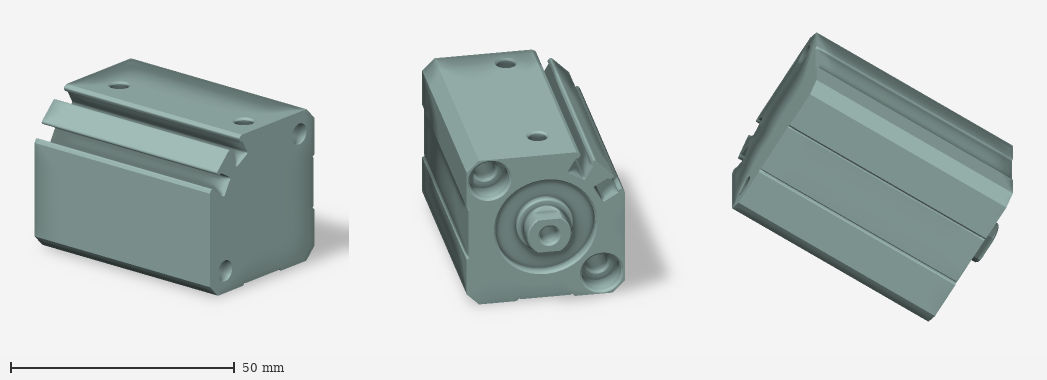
import cadquery as cq
import math

TOTAL_LENGTH = 56.0
ROD_REACH = 4.4
BODY_LENGTH = TOTAL_LENGTH - ROD_REACH
BODY_WIDTH = 36.0
HALF_WIDTH = BODY_WIDTH / 2
CORNER_CHAMFER = 2.8

SLOT_ANGLES = (120, 150)
SLOT_FACE_RADIUS = 19.1
RIB_ANGLE = 135
RIB_FACE_RADIUS = 19.05
SLOT_FLOOR_RADIUS = 13.8
SLOT_HALF_WIDTH = 2.3
SLOT_FLOOR_ROUND = 0.45
LIP_UNDERSIDE_RADIUS = 17.8
MOUTH_HALF_WIDTH = 1.75
LIP_ROUND = 0.4
SLOT_OVERSHOOT = 1.1

RECESS_DEPTH = 0.4
RECESS_HALF_WIDTH = 5.75
RELIEF_DEPTH = 0.7
RELIEF_HALF_WIDTH = 6.05
RECESS_MOUTH_HALF_WIDTH = 6.55

MOUNT_OFFSET = 12.75
MOUNT_HOLE_DIAMETER = 4.9
MOUNT_HOLE_CHAMFER = 0.5
COUNTERBORE_DIAMETER = 9.0
COUNTERBORE_CHAMFER = 0.5
COUNTERBORE_DEPTH = 5.5

FRONT_RECESS_DIAMETER = 22.8
FRONT_RECESS_CHAMFER = 0.45
FRONT_RECESS_DEPTH = 2.35
COLLAR_DIAMETER = 13.0
COLLAR_ROUND = 0.5
COLLAR_HEIGHT = 1.7

PORT_DIAMETER = 4.15
PORT_CHAMFER = 0.45
PORT_DEPTH = 5.05
FRONT_PORT_X = 9.6
PORT_SPACING = 36.6

ROD_DIAMETER = 10.0
ROD_RADIUS = ROD_DIAMETER / 2
ROD_CHAMFER = 0.3
ROD_SEAT_DEPTH = 8.4
FLATS_HALF_WIDTH = 4.05
FLATS_LENGTH = 4.0
ROD_HOLE_DIAMETER = 4.15
ROD_HOLE_CHAMFER = 0.5
ROD_HOLE_DEPTH = 7.85
DRILL_TIP_ANGLE = 118


def cylinder(diameter, x_start, x_end, y=0.0, z=0.0):
    """Solid cylinder along X."""
    return cq.Workplane("YZ", origin=(x_start, y, z)).circle(diameter / 2).extrude(x_end - x_start)


def countersink(diameter, chamfer, x, y=0.0, z=0.0):
    """45 degree cone that breaks the mouth of a hole opening towards -X at the given x."""
    cone = cq.Solid.makeCone(
        diameter / 2 + chamfer, diameter / 2, chamfer, cq.Vector(x, y, z), cq.Vector(1, 0, 0)
    )
    return cq.Workplane(cone)


def crossing(angle_1, distance_1, angle_2, distance_2):
    """Point where two lines meet, each given by its normal angle and its distance from the axis."""
    a, b = math.radians(angle_1), math.radians(angle_2)
    spread = math.sin(b - a)
    y = (distance_1 * math.sin(b) - distance_2 * math.sin(a)) / spread
    z = (distance_2 * math.cos(a) - distance_1 * math.cos(b)) / spread
    return (y, z)


def profile_blank():
    """Square extrusion with three chamfered corners and a three-faced slot corner."""
    chamfer_start = HALF_WIDTH - CORNER_CHAMFER
    upper_slot, lower_slot = SLOT_ANGLES
    outline = [
        (HALF_WIDTH, -chamfer_start),
        (HALF_WIDTH, chamfer_start),
        (chamfer_start, HALF_WIDTH),
        crossing(90, HALF_WIDTH, upper_slot, SLOT_FACE_RADIUS),
        crossing(upper_slot, SLOT_FACE_RADIUS, RIB_ANGLE, RIB_FACE_RADIUS),
        crossing(RIB_ANGLE, RIB_FACE_RADIUS, lower_slot, SLOT_FACE_RADIUS),
        crossing(lower_slot, SLOT_FACE_RADIUS, 180, HALF_WIDTH),
        (-HALF_WIDTH, -chamfer_start),
        (-chamfer_start, -HALF_WIDTH),
        (chamfer_start, -HALF_WIDTH),
    ]
    return cq.Workplane("YZ").polyline(outline).close().extrude(BODY_LENGTH)


def sensor_slot(angle):
    """Cutter for one undercut slot with rounded lips, running the full length."""
    floor = SLOT_FLOOR_RADIUS
    wide = SLOT_HALF_WIDTH
    narrow = MOUTH_HALF_WIDTH
    lip_edge = narrow + LIP_ROUND
    arc_inset = LIP_ROUND * (1 - math.sqrt(0.5))
    floor_inset = SLOT_FLOOR_ROUND * (1 - math.sqrt(0.5))
    under = LIP_UNDERSIDE_RADIUS
    face = SLOT_FACE_RADIUS
    half = (
        cq.Workplane("YZ")
        .moveTo(floor, 0)
        .lineTo(floor, wide - SLOT_FLOOR_ROUND)
        .threePointArc((floor + floor_inset, wide - floor_inset), (floor + SLOT_FLOOR_ROUND, wide))
        .lineTo(under, wide)
        .lineTo(under, lip_edge)
        .threePointArc((under + arc_inset, narrow + arc_inset), (under + LIP_ROUND, narrow))
        .lineTo(face - LIP_ROUND, narrow)
        .threePointArc((face - arc_inset, narrow + arc_inset), (face, lip_edge))
        .lineTo(face + SLOT_OVERSHOOT, lip_edge)
        .lineTo(face + SLOT_OVERSHOOT, 0)
        .close()
        .extrude(BODY_LENGTH)
    )
    return half.union(half.mirror("XY")).rotate((0, 0, 0), (1, 0, 0), angle)


def side_recess(angle):
    """Cutter for the shallow recess on the side facing the given angle."""
    half_outline = [
        (HALF_WIDTH, RECESS_MOUTH_HALF_WIDTH),
        (HALF_WIDTH - RELIEF_DEPTH, RELIEF_HALF_WIDTH),
        (HALF_WIDTH - RECESS_DEPTH, RECESS_HALF_WIDTH),
    ]
    other_half = [(y, -z) for y, z in reversed(half_outline)]
    cutter = cq.Workplane("YZ").polyline(half_outline + other_half).close().extrude(BODY_LENGTH)
    return cutter.rotate((0, 0, 0), (1, 0, 0), angle)


def mounting_hole(y, z):
    """Cutter for a through hole with a counterbore from the front."""
    hole = cylinder(MOUNT_HOLE_DIAMETER, 0, BODY_LENGTH, y, z)
    counterbore = cylinder(COUNTERBORE_DIAMETER, 0, COUNTERBORE_DEPTH, y, z)
    mouth = countersink(COUNTERBORE_DIAMETER, COUNTERBORE_CHAMFER, 0, y, z)
    inner_mouth = countersink(MOUNT_HOLE_DIAMETER, MOUNT_HOLE_CHAMFER, COUNTERBORE_DEPTH, y, z)
    return hole.union(counterbore).union(mouth).union(inner_mouth)


def front_recess():
    """Cutter for the round front recess that leaves the rod collar standing."""
    collar = cylinder(COLLAR_DIAMETER, FRONT_RECESS_DEPTH - COLLAR_HEIGHT, FRONT_RECESS_DEPTH)
    collar = collar.faces("<X").edges().fillet(COLLAR_ROUND)
    recess = cylinder(FRONT_RECESS_DIAMETER, 0, FRONT_RECESS_DEPTH)
    mouth = countersink(FRONT_RECESS_DIAMETER, FRONT_RECESS_CHAMFER, 0)
    return recess.union(mouth).cut(collar)


def air_port(x):
    """Cutter for a blind port with a chamfered mouth in the top side."""
    bottom = HALF_WIDTH - PORT_DEPTH
    port = cq.Workplane("XY", origin=(x, 0, bottom)).circle(PORT_DIAMETER / 2).extrude(PORT_DEPTH)
    mouth = cq.Solid.makeCone(
        PORT_DIAMETER / 2 + PORT_CHAMFER,
        PORT_DIAMETER / 2,
        PORT_CHAMFER,
        cq.Vector(x, 0, HALF_WIDTH),
        cq.Vector(0, 0, -1),
    )
    return port.union(cq.Workplane(mouth))


def make_housing():
    housing = profile_blank()
    for angle in SLOT_ANGLES:
        housing = housing.cut(sensor_slot(angle))
    for angle in (0, -90):
        housing = housing.cut(side_recess(angle))
    for side in (1, -1):
        housing = housing.cut(mounting_hole(side * MOUNT_OFFSET, side * MOUNT_OFFSET))
    housing = housing.cut(front_recess())
    for x in (FRONT_PORT_X, FRONT_PORT_X + PORT_SPACING):
        housing = housing.cut(air_port(x))
    rod_seat = cylinder(ROD_DIAMETER, 0, ROD_SEAT_DEPTH)
    return housing.cut(rod_seat)


def wrench_flat():
    """Cutter for the upper flat, which runs out to the rod surface at 45 degrees."""
    flat_end = FLATS_LENGTH - ROD_REACH
    runout = ROD_RADIUS - FLATS_HALF_WIDTH
    outline = [
        (-ROD_REACH, FLATS_HALF_WIDTH),
        (flat_end, FLATS_HALF_WIDTH),
        (flat_end + runout, ROD_RADIUS),
        (-ROD_REACH, ROD_RADIUS),
    ]
    return cq.Workplane("XZ").polyline(outline).close().extrude(ROD_RADIUS, both=True)


def rod_hole():
    """Cutter for the blind hole in the rod end, with a conical drill tip."""
    tip_length = ROD_HOLE_DIAMETER / 2 / math.tan(math.radians(DRILL_TIP_ANGLE / 2))
    bottom = ROD_HOLE_DEPTH - ROD_REACH
    hole = cylinder(ROD_HOLE_DIAMETER, -ROD_REACH, bottom)
    tip = cq.Solid.makeCone(
        ROD_HOLE_DIAMETER / 2, 0, tip_length, cq.Vector(bottom, 0, 0), cq.Vector(1, 0, 0)
    )
    mouth = countersink(ROD_HOLE_DIAMETER, ROD_HOLE_CHAMFER, -ROD_REACH)
    return hole.union(cq.Workplane(tip)).union(mouth)


def make_rod():
    rod = cylinder(ROD_DIAMETER, -ROD_REACH, ROD_SEAT_DEPTH)
    rod = rod.faces("<X").edges().chamfer(ROD_CHAMFER)
    upper_flat = wrench_flat()
    rod = rod.cut(upper_flat).cut(upper_flat.mirror("XY"))
    return rod.cut(rod_hole())


housing = make_housing()
piston_rod = make_rod()

result = cq.Compound.makeCompound([housing.val(), piston_rod.val()])